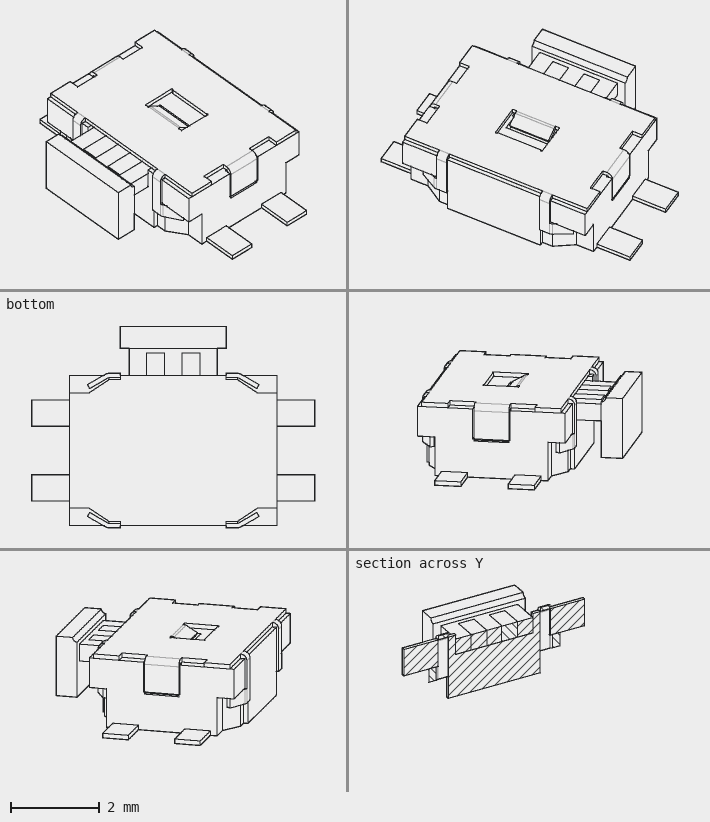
import cadquery as cq
import math


total_length = 6.4
total_height = 1.7
body_length = 4.7
body_depth = 3.4
head_front = 2.8

sheet = 0.1
bend_radius = 0.15
cover_depth = 3.2
cover_underside = total_height - sheet

clip_inner = 1.2
clip_outer = 1.45
clip_bottom = 0.56
wing_top = 0.9
wing_tip = 1.94
wing_angle = 30.0

tab_width = 0.805
tab_bottom = 0.9
tab_slot_width = 0.86
tab_slot_bottom = 0.85
notch_width = 2.0
notch_depth = 0.25

window_width = 1.2
window_front = -0.3
window_back = 0.5
relief_width = 0.04
relief_depth = 0.02
tongue_width = 1.0
tongue_bend_start = -0.29
tongue_bend_radius = 0.115
tongue_angle = 30.0
tongue_tip = 0.04

corner_y = 1.3
corner_x = 1.91

plate_width = 2.0
plate_bottom = 1.1
plate_top = 1.5
plate_back = 0.8
head_width = 2.4
head_bottom = 0.3
head_back = 2.31
head_cove = 0.1
recess_width = 1.1
recess_back = 0.1
recess_depth = 0.2

strip_inner = 0.2
strip_outer = 0.6
strip_front = 2.2

terminal_width = 0.6
terminal_thickness = 0.11
terminal_y = 0.845

SIDES = (-1, 1)


def block(x0, x1, y0, y1, z0, z1):
    """Box between the given limits, in any order."""
    size = (abs(x1 - x0), abs(y1 - y0), abs(z1 - z0))
    corner = (min(x0, x1), min(y0, y1), min(z0, z1))
    return cq.Workplane("XY").box(*size, centered=False).translate(corner)


def at_four_corners(shape):
    """The shape given for +X, +Y together with its mirror images in the other quadrants."""
    both_ends = shape.union(shape.mirror("YZ"))
    return both_ends.union(both_ends.mirror("XZ"))


def bent_leg(start, bottom, flat, width):
    """Sheet leg in the XZ plane: flat up to X = start, then bent down to Z = bottom; centred on Y."""
    bend_z = total_height - bend_radius
    inner_radius = bend_radius - sheet
    diagonal = math.sqrt(0.5)
    return (
        cq.Workplane("XZ", origin=(0, width / 2, 0))
        .moveTo(start - flat, total_height)
        .lineTo(start, total_height)
        .threePointArc(
            (start + bend_radius * diagonal, bend_z + bend_radius * diagonal),
            (start + bend_radius, bend_z),
        )
        .lineTo(start + bend_radius, bottom)
        .lineTo(start + inner_radius, bottom)
        .lineTo(start + inner_radius, bend_z)
        .threePointArc(
            (start + inner_radius * diagonal, bend_z + inner_radius * diagonal),
            (start, cover_underside),
        )
        .lineTo(start - flat, cover_underside)
        .close()
        .extrude(width)
    )



def clip_wing():
    """Wing bent back from the outer edge of a clip, for the +X, +Y corner."""
    slope = math.radians(wing_angle)
    inner_radius = bend_radius - sheet
    centre_y = cover_depth / 2

    def on_bend(radius, angle):
        return clip_outer + radius * math.sin(angle), centre_y + radius * math.cos(angle)

    bend_end = on_bend(bend_radius, slope)
    tip_y = bend_end[1] - (wing_tip - bend_end[0]) * math.tan(slope)
    tip_inside = (wing_tip - sheet * math.sin(slope), tip_y - sheet * math.cos(slope))
    return (
        cq.Workplane("XY", origin=(0, 0, clip_bottom))
        .moveTo(clip_inner, centre_y + bend_radius)
        .lineTo(*on_bend(bend_radius, 0))
        .threePointArc(on_bend(bend_radius, slope / 2), bend_end)
        .lineTo(wing_tip, tip_y)
        .lineTo(*tip_inside)
        .lineTo(*on_bend(inner_radius, slope))
        .threePointArc(on_bend(inner_radius, slope / 2), on_bend(inner_radius, 0))
        .lineTo(clip_inner, centre_y + inner_radius)
        .close()
        .extrude(wing_top - clip_bottom)
    )


def clip():
    """Clip and wing for the +X, +Y corner."""
    leg = bent_leg(cover_depth / 2, clip_bottom, sheet, clip_outer - clip_inner)
    leg = leg.rotate((0, 0, 0), (0, 0, 1), 90).translate(((clip_inner + clip_outer) / 2, 0, 0))
    return leg.union(clip_wing())


def window_cutter():
    """Window through the cover with small reliefs in its two back corners."""
    half = window_width / 2
    cutter = block(-half, half, window_front, window_back, cover_underside, total_height)
    for side in SIDES:
        cutter = cutter.union(block(
            side * half, side * (half - relief_width),
            window_front, window_back + relief_depth,
            cover_underside, total_height,
        ))
    return cutter


def tongue():
    """Tongue on the front edge of the window, bent down toward +Y."""
    slope = math.radians(tongue_angle)
    inner_radius = tongue_bend_radius - sheet
    centre_z = total_height - tongue_bend_radius

    def on_bend(radius, angle):
        return tongue_bend_start + radius * math.sin(angle), centre_z + radius * math.cos(angle)

    bend_end = on_bend(tongue_bend_radius, slope)
    tip_z = bend_end[1] - (tongue_tip - bend_end[0]) * math.tan(slope)
    tip_below = (tongue_tip - sheet * math.sin(slope), tip_z - sheet * math.cos(slope))
    return (
        cq.Workplane("YZ", origin=(-tongue_width / 2, 0, 0))
        .moveTo(window_front - sheet, total_height)
        .lineTo(tongue_bend_start, total_height)
        .threePointArc(on_bend(tongue_bend_radius, slope / 2), bend_end)
        .lineTo(tongue_tip, tip_z)
        .lineTo(*tip_below)
        .lineTo(*on_bend(inner_radius, slope))
        .threePointArc(on_bend(inner_radius, slope / 2), on_bend(inner_radius, 0))
        .lineTo(window_front - sheet, cover_underside)
        .close()
        .extrude(tongue_width)
    )


def make_cover():
    end = body_length / 2
    side_y = cover_depth / 2
    cover = block(-end, end, -side_y, side_y, cover_underside, total_height)
    for side in SIDES:
        cover = cover.cut(block(
            side * end, side * (end - notch_depth),
            -notch_width / 2, notch_width / 2,
            cover_underside, total_height,
        ))
    tab = bent_leg(end - bend_radius, tab_bottom, notch_depth, tab_width)
    cover = cover.union(tab).union(tab.mirror("YZ"))
    cover = cover.union(at_four_corners(clip()))
    return cover.cut(window_cutter()).union(tongue())



def corner_cutter():
    """Lower corner cutout behind the wing and the slot behind the clip, for the +X, +Y corner."""
    end = body_length / 2
    slot_y = cover_depth / 2
    cutout = (
        cq.Workplane("XY")
        .polyline([
            (end, corner_y),
            (corner_x, corner_y),
            (clip_outer, slot_y),
            (clip_outer, body_depth / 2),
            (end, body_depth / 2),
        ])
        .close()
        .extrude(wing_top)
    )
    slot = block(clip_inner, clip_outer, slot_y, body_depth / 2, 0, cover_underside)
    return cutout.union(slot)


def tab_slot_cutter():
    """Slot for the +X tab: wide beside the leg, as narrow as the leg under its lower end."""
    end = body_length / 2
    leg_back = end - sheet
    wide = block(
        end - bend_radius, end, -tab_slot_width / 2, tab_slot_width / 2,
        tab_bottom, cover_underside,
    )
    narrow = block(leg_back, end, -tab_width / 2, tab_width / 2, tab_slot_bottom, tab_bottom)
    return wide.union(narrow)


def make_housing():
    end = body_length / 2
    side_y = body_depth / 2
    housing = block(-end, end, -side_y, side_y, 0, cover_underside)
    housing = housing.cut(at_four_corners(corner_cutter()))
    slot = tab_slot_cutter()
    housing = housing.cut(slot).cut(slot.mirror("YZ"))
    channel = block(
        -plate_width / 2, plate_width / 2, -side_y, plate_back, plate_bottom, cover_underside,
    )
    return housing.cut(channel)



def strip(side):
    """Flush strip in the plate, from near the head back to the tongue recess."""
    return block(
        side * strip_inner, side * strip_outer,
        -strip_front, window_front,
        plate_bottom, plate_top,
    )


def make_actuator():
    plate = block(
        -plate_width / 2, plate_width / 2, -head_back, plate_back, plate_bottom, plate_top,
    )
    recess = block(
        -recess_width / 2, recess_width / 2, window_front, recess_back,
        plate_top - recess_depth, plate_top,
    )
    plate = plate.cut(recess)
    for side in SIDES:
        plate = plate.cut(strip(side))
    head = block(
        -head_width / 2, head_width / 2, -head_front, -head_back, head_bottom, total_height,
    )
    cove = (
        cq.Workplane("YZ", origin=(-head_width / 2, 0, 0))
        .center(-head_back, total_height)
        .circle(head_cove)
        .extrude(head_width)
    )
    return plate.union(head.cut(cove))



def make_terminal(side_x, side_y):
    """Flat terminal standing out from an end face of the housing at the mounting plane."""
    return block(
        side_x * body_length / 2, side_x * total_length / 2,
        side_y * terminal_y - terminal_width / 2, side_y * terminal_y + terminal_width / 2,
        0, terminal_thickness,
    )


housing = make_housing()
cover = make_cover()
actuator = make_actuator()
strips = [strip(side) for side in SIDES]
terminals = [make_terminal(side_x, side_y) for side_x in SIDES for side_y in SIDES]

bodies = [housing, cover, actuator, *strips, *terminals]
result = cq.Compound.makeCompound([body.solids().val() for body in bodies])